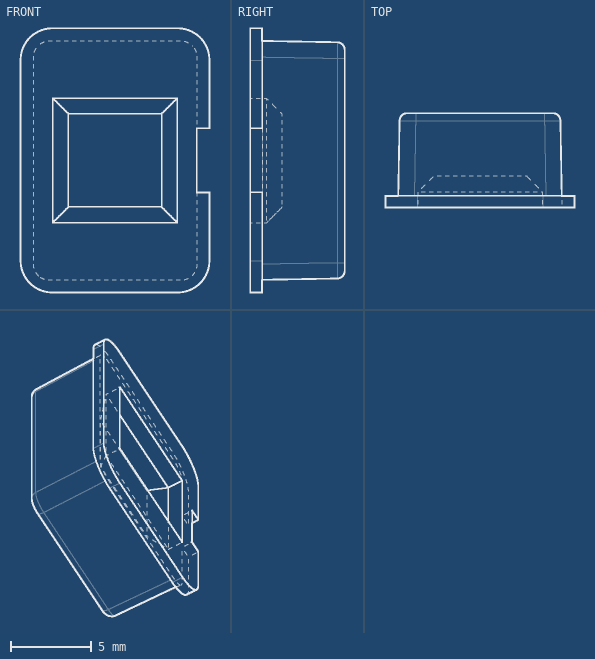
import cadquery as cq

flange_width = 11.8
flange_height = 16.5
flange_thickness = 0.75
flange_corner_radius = 2.0

total_depth = 5.9
plug_inset = 0.8
plug_draft_angle = 1.0
plug_corner_radius = 1.0
plug_back_fillet = 0.5
plug_width = flange_width - 2 * plug_inset
plug_height = flange_height - 2 * plug_inset
plug_depth = total_depth - flange_thickness

pocket_side = 7.75
pocket_straight_depth = 1.0
pocket_taper_depth = 0.97
pocket_taper_angle = 45.0

notch_depth = plug_inset
notch_height = 4.0


def plane_at(y):
    """XZ plane at the given Y whose normal points toward +Y."""
    return cq.Workplane(cq.Plane(origin=(0, y, 0), xDir=(1, 0, 0), normal=(0, 1, 0)))


def make_flange():
    plate = plane_at(0).rect(flange_width, flange_height).extrude(flange_thickness)
    plate = plate.edges("|Y").fillet(flange_corner_radius)
    notch = (
        plane_at(0)
        .center(flange_width / 2 - notch_depth / 2, 0)
        .rect(notch_depth, notch_height)
        .extrude(flange_thickness)
    )
    return plate.cut(notch)


def make_plug():
    plug = plane_at(flange_thickness).rect(plug_width, plug_height)
    plug = plug.extrude(plug_depth, taper=plug_draft_angle)
    plug = plug.edges("not(#Y)").fillet(plug_corner_radius)
    return plug.faces(">Y").edges().fillet(plug_back_fillet)


def make_pocket():
    mouth = plane_at(0).rect(pocket_side, pocket_side).extrude(pocket_straight_depth)
    funnel = (
        plane_at(pocket_straight_depth)
        .rect(pocket_side, pocket_side)
        .extrude(pocket_taper_depth, taper=pocket_taper_angle)
    )
    return mouth.union(funnel)


result = make_flange().union(make_plug()).cut(make_pocket())